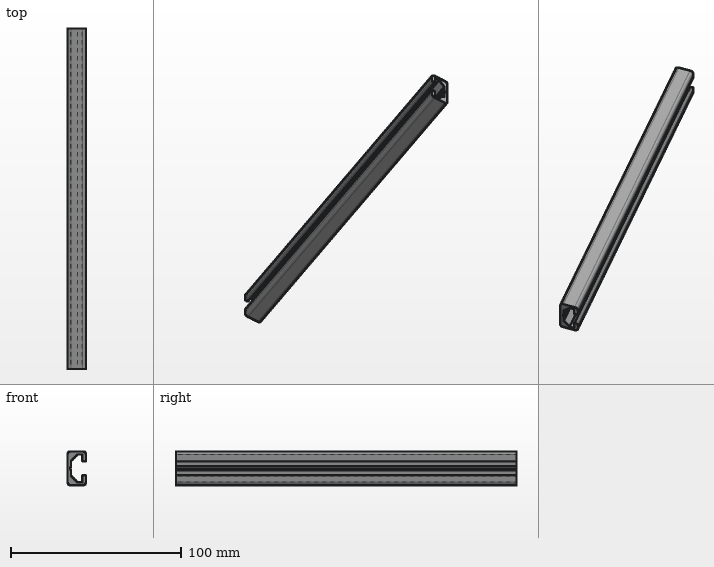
import cadquery as cq

width = 11.0
length = 200.0
height = 20.0

back_wall = 2.2
side_wall = 1.9
lip_thickness = 2.3
mouth_height = 8.0
cavity_chamfer = 3.75
outer_radius = 2.0
lip_edge_radius = 0.75
corner_radius = 0.3
groove_depth = 0.5
groove_width = 2.5

back_x = -width / 2
mouth_x = width / 2
floor_x = back_x + back_wall
lip_x = mouth_x - lip_thickness
half_cavity = height / 2 - side_wall


def make_body():
    """Solid bar with its four long outer edges rounded."""
    return cq.Workplane("XY").box(width, length, height).edges("|Y").fillet(outer_radius)


def make_cavity():
    """Inner channel with sloped corners next to the back wall."""
    upper_points = [
        (floor_x - groove_depth, 0),
        (floor_x, groove_width / 2),
        (floor_x, half_cavity - cavity_chamfer),
        (floor_x + cavity_chamfer, half_cavity),
        (lip_x, half_cavity),
    ]
    lower_points = [(x, -z) for x, z in reversed(upper_points[1:])]
    outline = cq.Workplane("XZ").polyline(upper_points + lower_points).close()
    return outline.extrude(length / 2, both=True)


def make_mouth():
    """Slot between the lips, running from inside the cavity out through the open side."""
    return cq.Workplane("XY").box(mouth_x, length, mouth_height).translate((mouth_x / 2, 0, 0))


def nearest_edge(x, z):
    """Selector for the long edge that runs through the section point (x, z)."""
    return cq.selectors.NearestToPointSelector((x, 0, z))


def round_edges(rail):
    """Round both mouth edges of each lip and the corner where each lip meets its side wall."""
    for side in (1, -1):
        lip_end = side * mouth_height / 2
        rail = rail.edges(nearest_edge(mouth_x, lip_end)).fillet(lip_edge_radius)
        rail = rail.edges(nearest_edge(lip_x, lip_end)).fillet(lip_edge_radius)
        rail = rail.edges(nearest_edge(lip_x, side * half_cavity)).fillet(corner_radius)
    return rail


result = round_edges(make_body().cut(make_cavity()).cut(make_mouth()))